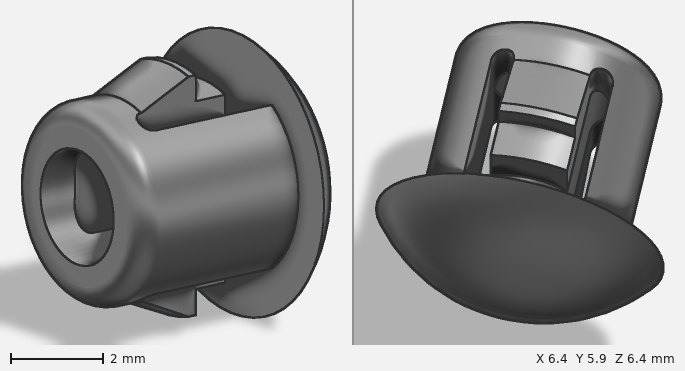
import cadquery as cq


head_radius = 3.2
head_height = 1.6

shank_radius = 2.29
shank_length = 4.3
bore_radius = 1.3
nose_fillet = 0.5

tongue_width = 1.7
slot_width = 0.5
slot_depth = 3.2
tongue_tip_depth = 0.895

barb_radius = 2.85
barb_start_depth = 1.7
barb_land = 0.2

slot_radius = slot_width / 2
slot_offset = (tongue_width + slot_width) / 2
window_width = tongue_width + 2 * slot_width
cut_height = 3 * shank_radius


def revolve_about_y(profile):
    return profile.close().revolve(360, (0, 0, 0), (0, 1, 0))


def box_from_depths(width, start_depth, end_depth, height):
    """Box centred on X and Z, spanning two depths below the head."""
    return (
        cq.Workplane("XY")
        .center(0, -(start_depth + end_depth) / 2)
        .box(width, end_depth - start_depth, height)
    )


def make_head():
    sphere_radius = (head_radius**2 + head_height**2) / (2 * head_height)
    profile = (
        cq.Workplane("XY")
        .lineTo(head_radius, 0)
        .radiusArc((0, head_height), -sphere_radius)
    )
    return revolve_about_y(profile)


def make_shank():
    return (
        cq.Workplane("XZ")
        .circle(shank_radius)
        .extrude(shank_length)
        .faces("<Y")
        .edges()
        .fillet(nose_fillet)
    )


def make_bore():
    return cq.Workplane("XZ").circle(bore_radius).extrude(shank_length)


def make_window():
    """Opening through both walls, including the round-ended slots beside the tongues."""
    window = box_from_depths(window_width, 0, slot_depth, cut_height)
    for side in (-1, 1):
        slot_end = (
            cq.Workplane("XY")
            .center(side * slot_offset, -slot_depth)
            .circle(slot_radius)
            .extrude(cut_height / 2, both=True)
        )
        window = window.union(slot_end)
    return window


def make_tongues():
    """Opposed tongues, still joined across the bore: a revolved barbed disc trimmed to the tongue width."""
    profile = (
        cq.Workplane("XY")
        .moveTo(0, -tongue_tip_depth)
        .lineTo(shank_radius, -tongue_tip_depth)
        .lineTo(shank_radius, -barb_start_depth)
        .lineTo(barb_radius, -barb_start_depth)
        .lineTo(barb_radius, -barb_start_depth - barb_land)
        .lineTo(shank_radius, -slot_depth)
        .lineTo(0, -slot_depth)
    )
    trim = box_from_depths(tongue_width, 0, shank_length, cut_height)
    return revolve_about_y(profile).intersect(trim)


slotted_shank = make_shank().cut(make_window())
hollow_shank = slotted_shank.union(make_tongues()).cut(make_bore())
result = make_head().union(hollow_shank).clean()